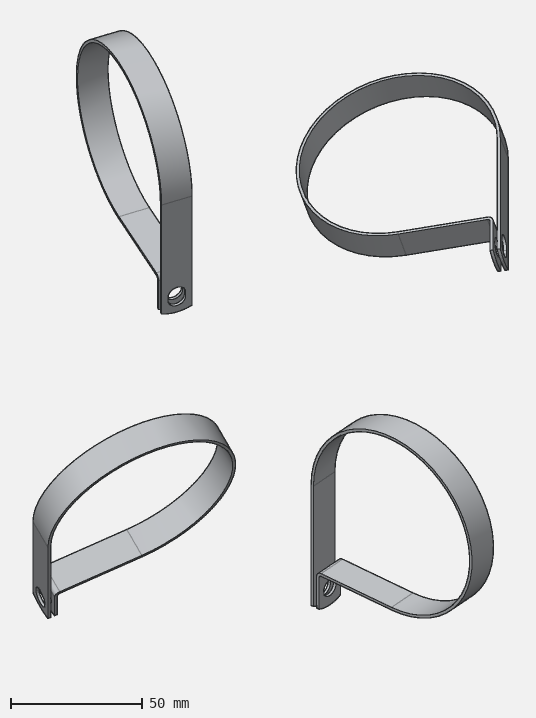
import cadquery as cq
import math

height = 97.2
loop_diameter = 80.2
strap_width = 12.7
thickness = 1.3
leg_gap = 1.6
bend_inner_radius = 1.0
hole_diameter = 7.3
slot_length = 9.2
hole_height = 8.0
tip_rise = 1.3

outer_radius = loop_diameter / 2
inner_radius = outer_radius - thickness
loop_z = height - outer_radius
loop_bottom = loop_z - outer_radius
short_leg_right = inner_radius - leg_gap
short_leg_left = short_leg_right - thickness
bend_x = short_leg_left - bend_inner_radius
bend_z = loop_bottom - bend_inner_radius
bend_outer_radius = bend_inner_radius + thickness
cos45 = math.cos(math.radians(45))


def loop_midpoint(radius):
    """Middle of the three-quarter loop, at its upper left."""
    return (-radius * cos45, loop_z + radius * cos45)


def bend_midpoint(radius):
    """Middle of the quarter bend, at its upper right."""
    return (bend_x + radius * cos45, bend_z + radius * cos45)


def make_strap():
    """Bent strap: long leg, loop, flat floor and short leg."""
    return (
        cq.Workplane("XZ")
        .moveTo(outer_radius, 0)
        .lineTo(outer_radius, loop_z)
        .threePointArc(loop_midpoint(outer_radius), (0, loop_bottom))
        .lineTo(bend_x, loop_bottom)
        .threePointArc(bend_midpoint(bend_inner_radius), (short_leg_left, bend_z))
        .lineTo(short_leg_left, 0)
        .lineTo(short_leg_right, 0)
        .lineTo(short_leg_right, bend_z)
        .threePointArc(bend_midpoint(bend_outer_radius), (bend_x, loop_bottom + thickness))
        .lineTo(0, loop_bottom + thickness)
        .threePointArc(loop_midpoint(inner_radius), (inner_radius, loop_z))
        .lineTo(inner_radius, 0)
        .close()
        .extrude(strap_width / 2, both=True)
    )


def make_rounded_envelope():
    """Side envelope that gives both leg tips their shallow arc."""
    half_width = strap_width / 2
    return (
        cq.Workplane("YZ")
        .moveTo(-half_width, height)
        .lineTo(-half_width, tip_rise)
        .threePointArc((0, 0), (half_width, tip_rise))
        .lineTo(half_width, height)
        .close()
        .extrude(loop_diameter, both=True)
    )


def make_round_hole():
    """Round bolt hole through the short leg."""
    return (
        cq.Workplane("YZ", origin=(short_leg_left, 0, hole_height))
        .circle(hole_diameter / 2)
        .extrude(thickness)
    )


def make_slotted_hole():
    """Upright slot through the long leg, as wide as the round hole."""
    return (
        cq.Workplane("YZ", origin=(inner_radius, 0, hole_height))
        .slot2D(slot_length, hole_diameter, angle=90)
        .extrude(thickness)
    )


strap = make_strap().intersect(make_rounded_envelope())
result = strap.cut(make_round_hole()).cut(make_slotted_hole())